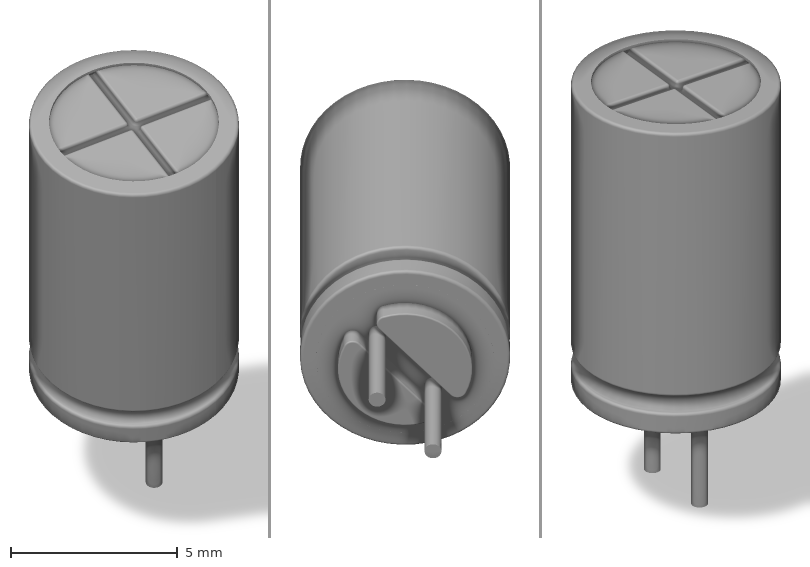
import cadquery as cq
total_height = 14.0
can_diameter = 6.3
edge_round = 0.1
stripe_angle = 45.0

belt_radius = 0.3
belt_height = 1.01

recess_diameter = 5.1
recess_depth = 0.1
slot_half_width = 0.119
slot_depth = 0.2
slot_round = 0.091

core_diameter = 5.32

feet_diameter = 4.03
feet_gap = 0.78
foot_height = 0.6
foot_corner_round = 0.28
foot_rim_round = 0.049

pin_diameter = 0.5
pin_pitch = 2.5
pin_length = 3.0

can_radius = can_diameter / 2
core_radius = core_diameter / 2
recess_radius = recess_diameter / 2
rim_radius = can_radius - edge_round
can_bottom = foot_height
can_top = total_height - pin_length
recess_floor = can_top - recess_depth
belt_z = can_bottom + belt_height


def upright_cylinder(diameter, bottom, top):
    return cq.Workplane("XY", origin=(0, 0, bottom)).circle(diameter / 2).extrude(top - bottom)


def wall_section():
    """Half section of the can wall, with its lip over the edge of the core's top."""
    belt_low = belt_z - belt_radius
    belt_high = belt_z + belt_radius
    return (
        cq.Workplane("XZ")
        .moveTo(core_radius, can_bottom)
        .lineTo(rim_radius, can_bottom)
        .radiusArc((can_radius, can_bottom + edge_round), -edge_round)
        .lineTo(can_radius, belt_low - edge_round)
        .radiusArc((rim_radius, belt_low), -edge_round)
        .threePointArc((rim_radius - belt_radius, belt_z), (rim_radius, belt_high))
        .radiusArc((can_radius, belt_high + edge_round), -edge_round)
        .lineTo(can_radius, can_top - edge_round)
        .radiusArc((rim_radius, can_top), -edge_round)
        .lineTo(recess_radius, can_top)
        .lineTo(recess_radius, recess_floor)
        .lineTo(core_radius, recess_floor)
        .close()
    )


def wall_sector(first_angle, last_angle):
    """Part of the can wall between two angles, measured anticlockwise from +X."""
    sector = wall_section().revolve(last_angle - first_angle, (0, 0), (0, 1))
    return sector.rotate((0, 0, 0), (0, 0, 1), first_angle)


def vent_cross():
    """Two crossed slots with rounded inner corners and rounded bottom edges."""
    width = 2 * slot_half_width
    slot_length = core_diameter + 2 * width
    slot = (
        cq.Workplane("XY", origin=(0, 0, recess_floor - slot_depth))
        .rect(slot_length, width)
        .extrude(slot_depth)
    )
    cross = slot.union(slot.rotate((0, 0, 0), (0, 0, 1), 90))
    crossing = cq.selectors.BoxSelector((-width, -width, 0), (width, width, can_top))
    cross = cross.edges(crossing).edges("|Z").fillet(slot_round)
    return cross.faces("<Z").edges().fillet(slot_round)


def scored_core():
    """Cylinder that fills the can wall, with the vent cross cut into its top."""
    cylinder = upright_cylinder(core_diameter, can_bottom, recess_floor).cut(vent_cross())
    top_edges = cylinder.faces(">Z").edges()
    rim = cq.selectors.RadiusNthSelector(-1)
    slot_lips = [edge for edge in top_edges.vals() if edge not in top_edges.edges("%CIRCLE").edges(rim).vals()]
    return cylinder.newObject(slot_lips).fillet(slot_round)


def feet():
    disc = upright_cylinder(feet_diameter, 0, foot_height)
    gap = cq.Workplane("XY").box(feet_diameter, feet_gap, foot_height, centered=(True, True, False))
    halves = disc.cut(gap).edges("|Z").fillet(foot_corner_round)
    return halves.faces("<Z").edges().fillet(foot_rim_round)


def pin(x):
    return upright_cylinder(pin_diameter, -pin_length, foot_height).translate((x, 0, 0))


def core_with_pins():
    """Scored core with the feet and both pins under it."""
    body = scored_core().union(feet())
    for side in (-1, 1):
        body = body.union(pin(side * pin_pitch / 2))
    return body


sleeve = wall_sector(stripe_angle / 2, 360 - stripe_angle / 2)
stripe = wall_sector(-stripe_angle / 2, stripe_angle / 2)
core = core_with_pins()

result = cq.Compound.makeCompound([sleeve.val(), stripe.val(), core.val()])